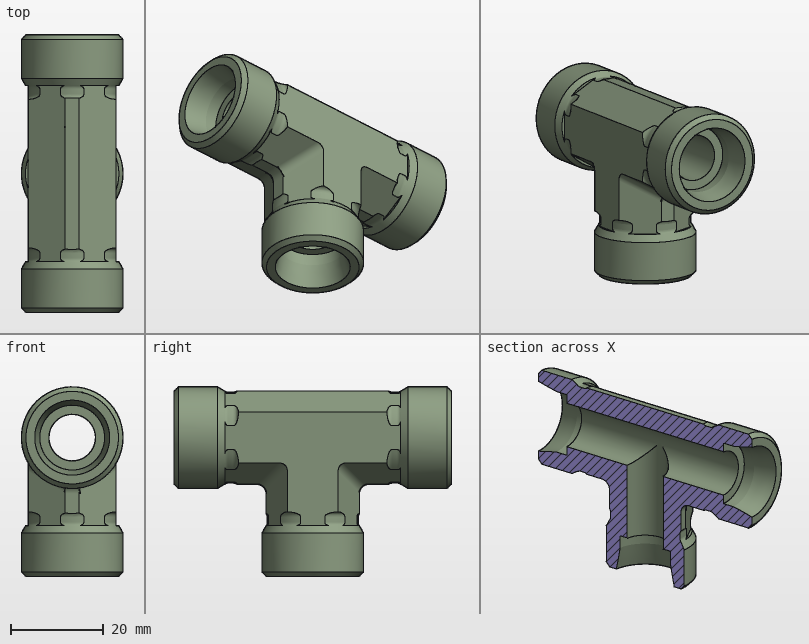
import cadquery as cq
import math

ARM_LENGTH = 30.0

ACROSS_FLATS = 19.0
RIDGE_HEIGHT = 10.1
INNER_CORNER_RADIUS = 2.0

COLLAR_DIAMETER = 22.0
COLLAR_LENGTH = 11.0
END_CHAMFER = 1.0
SHOULDER_TAPER_LENGTH = 1.6

GROOVE_FLOOR_RADIUS = 9.85
GROOVE_FLOOR_LENGTH = 1.3
GROOVE_CORNER_RADIUS = 1.0
GROOVE_OFFSET = 0.65

BORE_DIAMETER = 10.0
SOCKET_DIAMETER = 14.0
SOCKET_DEPTH = 8.0
MOUTH_DIAMETER = 16.2
MOUTH_HALF_ANGLE = 12.0

RUN_TURNS = (90, -90)
BRANCH_TURN = 180
ARM_TURNS = (*RUN_TURNS, BRANCH_TURN)

HALF_FLATS = ACROSS_FLATS / 2
CORNER_RADIUS = HALF_FLATS / math.cos(math.radians(30))
FLAT_HALF_WIDTH = CORNER_RADIUS / 2
COLLAR_RADIUS = COLLAR_DIAMETER / 2
SHOULDER_Z = ARM_LENGTH - COLLAR_LENGTH
SHOULDER_RADIUS = (
    GROOVE_FLOOR_RADIUS
    + GROOVE_CORNER_RADIUS
    - math.sqrt(GROOVE_CORNER_RADIUS**2 - GROOVE_OFFSET**2)
)


def turn(arm, angle):
    return arm.rotate((0, 0, 0), (1, 0, 0), angle)


def revolve_about_z(profile):
    """Revolve a closed XZ profile (radius, height) about the Z axis."""
    return profile.close().revolve(360, (0, 0, 0), (0, 1, 0))


def make_hexagon_arm():
    hexagon = (
        cq.Workplane("XY")
        .polygon(6, 2 * CORNER_RADIUS)
        .extrude(SHOULDER_Z)
        .rotate((0, 0, 0), (0, 0, 1), 30)
    )
    ridge_limit = cq.Workplane("XY").rect(ACROSS_FLATS, 2 * RIDGE_HEIGHT).extrude(SHOULDER_Z)
    return hexagon.intersect(ridge_limit)


def make_groove_cutter():
    floor_end = SHOULDER_Z - GROOVE_OFFSET
    floor_start = floor_end - GROOVE_FLOOR_LENGTH
    side_radius = GROOVE_FLOOR_RADIUS + GROOVE_CORNER_RADIUS
    arc_step = GROOVE_CORNER_RADIUS * math.sqrt(0.5)
    profile = (
        cq.Workplane("XZ")
        .moveTo(GROOVE_FLOOR_RADIUS, floor_start)
        .lineTo(GROOVE_FLOOR_RADIUS, floor_end)
        .threePointArc(
            (side_radius - arc_step, floor_end + arc_step),
            (side_radius, floor_end + GROOVE_CORNER_RADIUS),
        )
        .lineTo(COLLAR_DIAMETER, floor_end + GROOVE_CORNER_RADIUS)
        .lineTo(COLLAR_DIAMETER, floor_start - GROOVE_CORNER_RADIUS)
        .lineTo(side_radius, floor_start - GROOVE_CORNER_RADIUS)
        .threePointArc(
            (side_radius - arc_step, floor_start - arc_step),
            (GROOVE_FLOOR_RADIUS, floor_start),
        )
    )
    return revolve_about_z(profile)


def make_collar():
    profile = (
        cq.Workplane("XZ")
        .moveTo(0, SHOULDER_Z)
        .lineTo(SHOULDER_RADIUS, SHOULDER_Z)
        .lineTo(COLLAR_RADIUS, SHOULDER_Z + SHOULDER_TAPER_LENGTH)
        .lineTo(COLLAR_RADIUS, ARM_LENGTH - END_CHAMFER)
        .lineTo(COLLAR_RADIUS - END_CHAMFER, ARM_LENGTH)
        .lineTo(0, ARM_LENGTH)
    )
    return revolve_about_z(profile)


def make_bore_cutter():
    """Through bore, tube socket and tapered mouth of one arm."""
    bore_radius = BORE_DIAMETER / 2
    socket_radius = SOCKET_DIAMETER / 2
    mouth_radius = MOUTH_DIAMETER / 2
    mouth_depth = (mouth_radius - socket_radius) / math.tan(math.radians(MOUTH_HALF_ANGLE))
    profile = (
        cq.Workplane("XZ")
        .moveTo(0, 0)
        .lineTo(bore_radius, 0)
        .lineTo(bore_radius, ARM_LENGTH - SOCKET_DEPTH)
        .lineTo(socket_radius, ARM_LENGTH - SOCKET_DEPTH)
        .lineTo(socket_radius, ARM_LENGTH - mouth_depth)
        .lineTo(mouth_radius, ARM_LENGTH)
        .lineTo(0, ARM_LENGTH)
    )
    return revolve_about_z(profile)


def make_body():
    """Hexagonal tee with its two inner corners blended."""
    arm = make_hexagon_arm()
    body = turn(arm, BRANCH_TURN)
    for angle in RUN_TURNS:
        body = body.union(turn(arm, angle))
    body = body.clean()
    for side in (-1, 1):
        corner_edges = cq.selectors.BoxSelector(
            (-HALF_FLATS, side * FLAT_HALF_WIDTH, -FLAT_HALF_WIDTH),
            (HALF_FLATS, side * COLLAR_RADIUS, -COLLAR_RADIUS),
        )
        body = body.edges(corner_edges).fillet(INNER_CORNER_RADIUS)
    return body


result = make_body()
groove_cutter = make_groove_cutter()
collar = make_collar()
bore_cutter = make_bore_cutter()
for arm_turn in ARM_TURNS:
    result = result.cut(turn(groove_cutter, arm_turn))
    result = result.union(turn(collar, arm_turn))
for arm_turn in ARM_TURNS:
    result = result.cut(turn(bore_cutter, arm_turn))